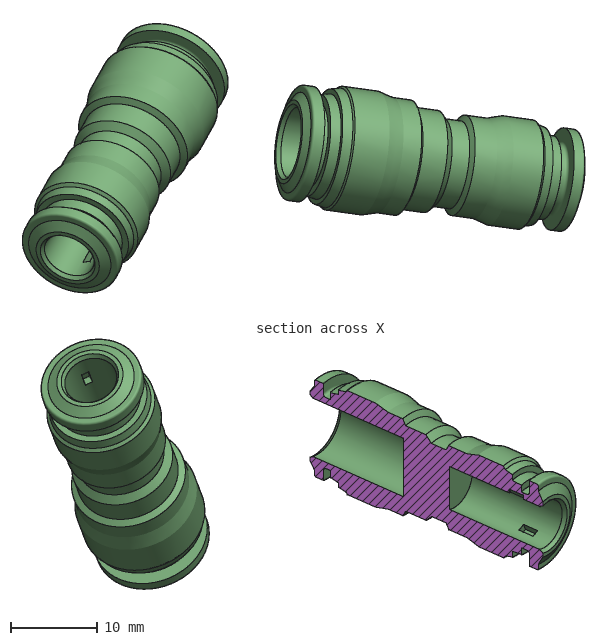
import cadquery as cq
import math


LENGTH = 35.0
END_Y = LENGTH / 2
SMALL_SIDE = -1
LARGE_SIDE = 1
DIAGONAL = math.sqrt(0.5)

LARGE_RADIUS = 7.25
LARGE_BEVEL_RADIUS = 7.0
LARGE_SHOULDER_RADIUS = 6.75
LARGE_SLEEVE_TIP_RADIUS = 5.95
LARGE_SLEEVE_ROOT_RADIUS = 6.15
LARGE_STEP_RADIUS = 6.0
WAIST_RADIUS = 5.15
SMALL_STEP_RADIUS = 5.88
SMALL_RADIUS = 6.4
SMALL_COLLAR_ROOT_RADIUS = 6.02
SMALL_COLLAR_TIP_RADIUS = 5.78
SMALL_SLEEVE_ROOT_RADIUS = 5.0
SMALL_SLEEVE_TIP_RADIUS = 4.9

LARGE_FACE_Y = 14.42
LARGE_STEP_Y = 13.23
SMALL_STEP_Y = -12.9
SMALL_FACE_Y = -14.28
SLEEVE_LAND = 0.1

BODY_OUTLINE = [
    (LARGE_FACE_Y, 0),
    (LARGE_FACE_Y, LARGE_SLEEVE_TIP_RADIUS),
    (LARGE_FACE_Y - SLEEVE_LAND, LARGE_SLEEVE_TIP_RADIUS),
    (LARGE_STEP_Y + SLEEVE_LAND, LARGE_SLEEVE_ROOT_RADIUS),
    (LARGE_STEP_Y, LARGE_SLEEVE_ROOT_RADIUS),
    (LARGE_STEP_Y, LARGE_SHOULDER_RADIUS),
    (12.08, LARGE_BEVEL_RADIUS),
    (11.9, LARGE_RADIUS),
    (7.63, LARGE_RADIUS),
    (5.75, LARGE_SHOULDER_RADIUS),
    (3.55, LARGE_SHOULDER_RADIUS),
    (3.1, LARGE_STEP_RADIUS),
    (0.07, LARGE_STEP_RADIUS),
    (-0.77, WAIST_RADIUS),
    (-2.9, WAIST_RADIUS),
    (-3.32, SMALL_STEP_RADIUS),
    (-6.05, SMALL_STEP_RADIUS),
    (-7.88, SMALL_RADIUS),
    (-11.55, SMALL_RADIUS),
    (-11.85, SMALL_COLLAR_ROOT_RADIUS),
    (SMALL_STEP_Y, SMALL_COLLAR_TIP_RADIUS),
    (SMALL_STEP_Y, SMALL_SLEEVE_ROOT_RADIUS),
    (SMALL_FACE_Y, SMALL_SLEEVE_TIP_RADIUS),
    (SMALL_FACE_Y, 0),
]

NOSE_HEIGHT = 0.65
FLANGE_WIDTH = 1.4
RIM_FILLET = 0.28
NECK_FILLET = 0.4
COLLET_WALL = 0.9
MOUTH_FLARE = 0.3
MOUTH_DEPTH = 0.5
BORE_DEPTH = 14.0

SMALL_NECK_RADIUS = 4.0
SMALL_FLANGE_RADIUS = 6.0
SMALL_NOSE_TIP_RADIUS = 3.92
SMALL_NOSE_BASE_RADIUS = 5.1

LARGE_NECK_RADIUS = 5.0
LARGE_FLANGE_RADIUS = 6.75
LARGE_NOSE_TIP_RADIUS = 4.9
LARGE_NOSE_BASE_RADIUS = 5.88

SLOT_WIDTH = 0.9
SLOT_LENGTH = 2.1
SLOT_START_DEPTH = 2.98
SLOT_ANGLE = 113.0


def revolve_about_y(points):
    """Revolve a closed (y, radius) outline about the Y axis."""
    outline = [(radius, y) for y, radius in points]
    profile = cq.Workplane("XY").polyline(outline).close()
    return profile.revolve(360, (0, 0, 0), (0, 1, 0))


def make_collet(side, face_y, neck_radius, flange_radius, tip_radius, base_radius):
    """Solid release collet from the body face outwards; side is +1 or -1 along Y."""
    nose_y = side * END_Y
    rim_y = nose_y - side * NOSE_HEIGHT
    flange_y = rim_y - side * FLANGE_WIDTH

    neck_arc_x = neck_radius + NECK_FILLET
    neck_arc_y = flange_y - side * NECK_FILLET
    neck_bulge = NECK_FILLET * DIAGONAL
    rim_arc_x = flange_radius - RIM_FILLET
    rim_arc_y = rim_y - side * RIM_FILLET
    rim_bulge = RIM_FILLET * DIAGONAL

    profile = (
        cq.Workplane("XY")
        .moveTo(0, face_y)
        .lineTo(neck_radius, face_y)
        .lineTo(neck_radius, neck_arc_y)
        .threePointArc(
            (neck_arc_x - neck_bulge, neck_arc_y + side * neck_bulge),
            (neck_arc_x, flange_y),
        )
        .lineTo(flange_radius, flange_y)
        .lineTo(flange_radius, rim_arc_y)
        .threePointArc(
            (rim_arc_x + rim_bulge, rim_arc_y + side * rim_bulge),
            (rim_arc_x, rim_y),
        )
        .lineTo(base_radius, rim_y)
        .lineTo(tip_radius, nose_y)
        .lineTo(0, nose_y)
        .close()
    )
    return profile.revolve(360, (0, 0, 0), (0, 1, 0))


def make_bore(side, neck_radius):
    """Blind tube socket with a tapered mouth."""
    bore_radius = neck_radius - COLLET_WALL
    mouth_y = side * END_Y
    floor_y = side * (END_Y - BORE_DEPTH)
    return revolve_about_y([
        (mouth_y, 0),
        (mouth_y, bore_radius + MOUTH_FLARE),
        (mouth_y - side * MOUTH_DEPTH, bore_radius),
        (floor_y, bore_radius),
        (floor_y, 0),
    ])


def make_slots():
    """Bar across the small collet that cuts two opposite slots in its wall."""
    middle_y = SMALL_SIDE * (END_Y - SLOT_START_DEPTH - SLOT_LENGTH / 2)
    bar = cq.Workplane("XY").box(2 * SMALL_NECK_RADIUS, SLOT_LENGTH, SLOT_WIDTH)
    return bar.rotate((0, 0, 0), (0, 1, 0), -SLOT_ANGLE).translate((0, middle_y, 0))


body = revolve_about_y(BODY_OUTLINE)

small_collet = make_collet(
    SMALL_SIDE, SMALL_FACE_Y, SMALL_NECK_RADIUS, SMALL_FLANGE_RADIUS,
    SMALL_NOSE_TIP_RADIUS, SMALL_NOSE_BASE_RADIUS,
)
large_collet = make_collet(
    LARGE_SIDE, LARGE_FACE_Y, LARGE_NECK_RADIUS, LARGE_FLANGE_RADIUS,
    LARGE_NOSE_TIP_RADIUS, LARGE_NOSE_BASE_RADIUS,
)

result = (
    body.union(small_collet)
    .union(large_collet)
    .cut(make_bore(SMALL_SIDE, SMALL_NECK_RADIUS))
    .cut(make_bore(LARGE_SIDE, LARGE_NECK_RADIUS))
    .cut(make_slots())
)